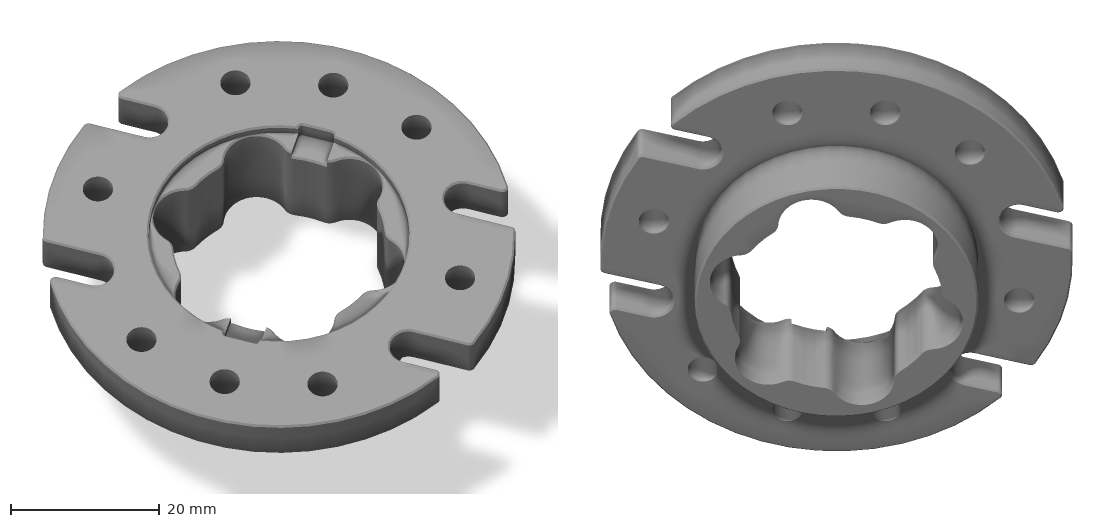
import cadquery as cq
import math

total_height = 15.9
flange_radius = 31.75
flange_height = 6.35
hub_radius = 19.05
hub_height = total_height - flange_height
edge_chamfer = 0.25

bolt_circle_radius = 25.4
hole_diameter = 4.05
hole_angles = [0, 60, 90, 120, 180, 240, 270, 300]
slot_angles = [30, 150, 210, 330]
slot_width = 5.1
slot_corner_radius = 0.75

recess_radius = 17.5
recess_depth = 1.4
ledge_z = total_height - recess_depth

key_width = 5.0
key_reach = 18.05
key_depth = 2.5
key_corner_radius = 0.5
key_floor_z = total_height - key_depth

lobe_count = 6
lobe_pitch = 360 / lobe_count
lobe_radius = 4.45
lobe_center_radius = 13.0
tooth_face_radius = 14.3
tooth_blend_radius = 1.9


def polar(radius, angle):
    """Point at a radius and an angle in degrees."""
    return radius * math.cos(math.radians(angle)), radius * math.sin(math.radians(angle))


def make_flange():
    """Disc with four side slots, their mouths rounded."""
    flange = cq.Workplane("XY").workplane(offset=hub_height).circle(flange_radius).extrude(flange_height)
    for angle in slot_angles:
        x, y = polar(bolt_circle_radius, angle)
        outward = math.copysign(1, x)
        slot_end = (
            cq.Workplane("XY")
            .workplane(offset=hub_height)
            .center(x, y)
            .circle(slot_width / 2)
            .extrude(flange_height)
        )
        slot_mouth = (
            cq.Workplane("XY")
            .workplane(offset=hub_height)
            .center(x + outward * flange_radius / 2, y)
            .rect(flange_radius, slot_width)
            .extrude(flange_height)
        )
        flange = flange.cut(slot_end.union(slot_mouth))

    for side in (-1, 1):
        mouth_zone = cq.selectors.BoxSelector(
            (side * bolt_circle_radius, -bolt_circle_radius, 0),
            (side * (flange_radius - edge_chamfer), bolt_circle_radius, total_height),
        )
        flange = flange.edges("|Z").edges(mouth_zone).fillet(slot_corner_radius)
    return flange


def make_key_profile(base_z):
    """Rounded rectangle spanning both keyways."""
    return (
        cq.Workplane("XY")
        .workplane(offset=base_z)
        .placeSketch(cq.Sketch().rect(key_width, 2 * key_reach).vertices().fillet(key_corner_radius))
    )


def make_key_block(floor_z):
    """Bar spanning both keyways, from a floor height to the top."""
    return make_key_profile(floor_z).extrude(total_height - floor_z)


def make_lobe_profile(base_z):
    """Closed outline of the six-lobed opening."""
    blend_center_radius = tooth_face_radius + tooth_blend_radius
    center_distance = lobe_radius + tooth_blend_radius
    cosine = (blend_center_radius**2 + lobe_center_radius**2 - center_distance**2) / (
        2 * blend_center_radius * lobe_center_radius
    )
    blend_angle = math.degrees(math.acos(cosine))
    blend_x, blend_y = polar(blend_center_radius, blend_angle)

    lobe_fraction = lobe_radius / center_distance
    lobe_end_x = lobe_center_radius + (blend_x - lobe_center_radius) * lobe_fraction
    lobe_end_y = blend_y * lobe_fraction
    lobe_direction = math.degrees(math.atan2(-blend_y, lobe_center_radius - blend_x))
    tooth_direction = blend_angle - 180
    middle_x, middle_y = polar(tooth_blend_radius, (lobe_direction + tooth_direction) / 2)
    blend_middle = (blend_x + middle_x, blend_y + middle_y)

    def turned(point, angle):
        """Point rotated about the Z axis by an angle in degrees."""
        return polar(math.hypot(*point), math.degrees(math.atan2(point[1], point[0])) + angle)

    outline = cq.Workplane("XY").workplane(offset=base_z).moveTo(*polar(tooth_face_radius, -blend_angle))
    for index in range(lobe_count):
        angle = index * lobe_pitch
        outline = (
            outline.threePointArc(
                turned((blend_middle[0], -blend_middle[1]), angle),
                turned((lobe_end_x, -lobe_end_y), angle),
            )
            .threePointArc(
                polar(lobe_center_radius + lobe_radius, angle),
                turned((lobe_end_x, lobe_end_y), angle),
            )
            .threePointArc(turned(blend_middle, angle), polar(tooth_face_radius, angle + blend_angle))
            .threePointArc(
                polar(tooth_face_radius, angle + lobe_pitch / 2),
                polar(tooth_face_radius, angle + lobe_pitch - blend_angle),
            )
        )
    return outline.close()


def make_lobe_flare(top_z):
    """Cutter that chamfers the rim of the lobed opening at a given height."""
    return make_lobe_profile(top_z - edge_chamfer).extrude(edge_chamfer, taper=-45)


recess = cq.Workplane("XY").workplane(offset=ledge_z).circle(recess_radius).extrude(recess_depth)
rim_base = total_height - edge_chamfer
recess_flare = (
    cq.Workplane("XY").workplane(offset=rim_base).circle(recess_radius).extrude(edge_chamfer, taper=-45)
)
keyway_rim_flare = make_key_profile(rim_base).extrude(edge_chamfer, taper=-45)

body = make_flange().faces("<Z or >Z").edges().chamfer(edge_chamfer)
body = body.cut(recess).cut(make_key_block(key_floor_z))
body = body.cut(recess_flare).cut(keyway_rim_flare)

hub = cq.Workplane("XY").circle(hub_radius).extrude(hub_height).faces("<Z").edges().chamfer(edge_chamfer)
body = body.union(hub)

body = body.cut(make_lobe_profile(0).extrude(total_height))
body = body.cut(make_lobe_flare(ledge_z))
keyway_flare = make_lobe_flare(key_floor_z).intersect(make_key_block(key_floor_z - edge_chamfer))
body = body.cut(keyway_flare)

hole_points = [polar(bolt_circle_radius, angle) for angle in hole_angles]
bolt_holes = (
    cq.Workplane("XY")
    .workplane(offset=hub_height)
    .pushPoints(hole_points)
    .circle(hole_diameter / 2)
    .extrude(flange_height)
)
result = body.cut(bolt_holes)